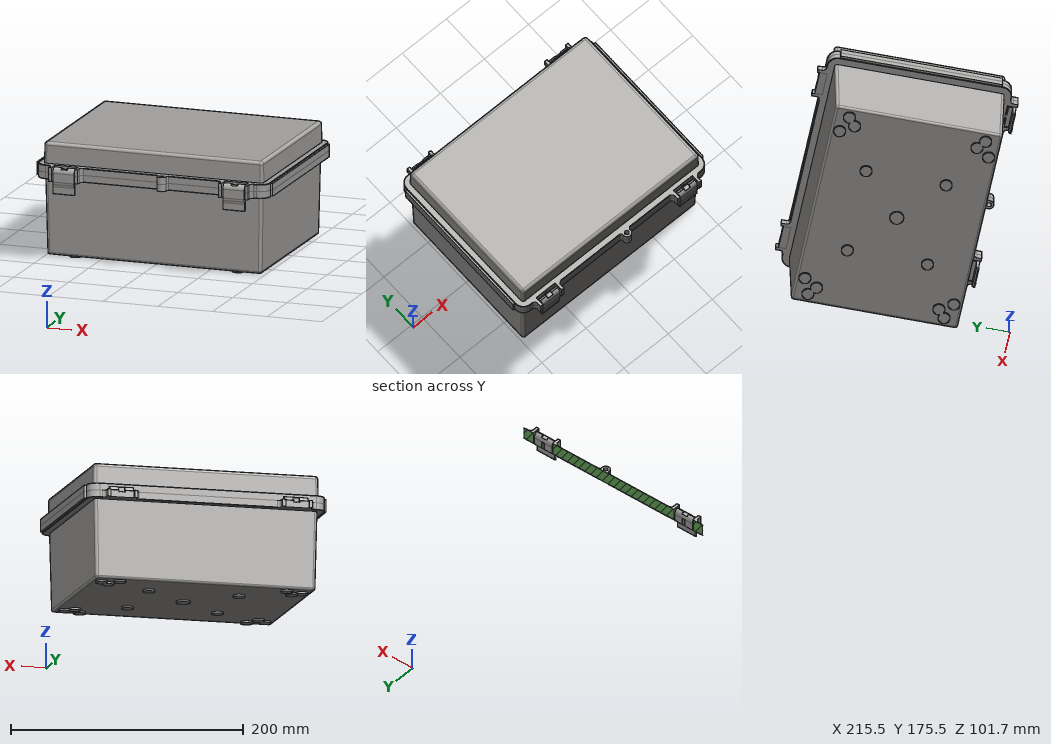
import cadquery as cq
import math

length = 215.5
width = 175.5
height = 101.7

foot_height = 1.5
flange_bottom = 70.5
parting = 76.7
flange_top = 83.0

flange_half_x = 105.8
flange_half_y = 80.8
flange_corner = 9.3
rim_chamfer = 0.5

rib_length = 141.5
rib_inset = 0.6

box_size = (198.7, 148.7)
box_draft = 1.2
lid_size = (200.5, 150.0)
lid_draft = 0.8
shell_corner = 2.5
box_edge = 2.0
lid_edge = 2.8

ear_spacing = 155.5
ear_half_x = 13.4
ear_gap_half_x = 10.5
ear_flare = 2.8
ear_tip_y = width / 2
slot_back_y = 79.0

latch_width = 19.5
latch_crest_y = 83.6
latch_face_y = 86.8
latch_tail_back_y = 84.0
latch_tail_face_y = 86.2
latch_crest = 82.7
latch_face_top = 77.8
latch_face_bottom = 70.0
latch_step_y = 86.6
latch_step_top = 67.9
latch_step_bottom = 65.7
latch_tip = 59.5
tip_bevel = 1.3
notch_width = 5.5
notch_depth = 1.5
web_width = 3.0
web_overlap = 0.5

lug_face_y = 85.5
lug_arc_y = 83.8
lug_arc_top = 80.4
lug_notch_bottom = 75.2
lug_notch_floor_y = 82.7

eye_x = 10.8
eye_y = -83.2
eye_radius = 4.0
eye_hole = 3.9
eye_flare = 1.0

center_foot_radius = 6.0
foot_radius = 5.2
inner_foot = (40.0, 35.1)
corner_feet = [(89.2, 59.7), (74.3, 65.3), (81.7, 53.7)]


def slab(size_x, size_y, z_low, z_high, center=(0, 0)):
    """Upright block between two heights."""
    block = cq.Workplane("XY", origin=(0, 0, z_low)).center(*center)
    return block.rect(size_x, size_y).extrude(z_high - z_low)


def flared_lug(x_center, half_x, tip_y, flare, side):
    """Outline of a lug leaving the flange edge through a concave flare on each flank."""
    base = side * flange_half_y
    inner = side * (flange_half_y - 2 * flare)
    flare_end = side * (flange_half_y + flare)
    bend = flare * (1 - math.sqrt(0.5))
    bend_y = side * (flange_half_y + bend)
    left = x_center - half_x
    right = x_center + half_x
    return (
        cq.Workplane("XY")
        .moveTo(left - flare, inner)
        .lineTo(left - flare, base)
        .threePointArc((left - bend, bend_y), (left, flare_end))
        .lineTo(left, side * tip_y)
        .lineTo(right, side * tip_y)
        .lineTo(right, flare_end)
        .threePointArc((right + bend, bend_y), (right + flare, base))
        .lineTo(right + flare, inner)
        .close()
    )


def shell(size, z_start, rise, draft, edge):
    """Drafted block rising from z_start (or hanging, if rise is negative), with rounded edges."""
    block = cq.Workplane("XY", origin=(0, 0, z_start)).rect(*size).extrude(rise, taper=draft)
    block = block.edges("not(|X or |Y)").fillet(shell_corner)
    return block.faces(">Z" if rise > 0 else "<Z").edges().fillet(edge)


def flange(z_low, z_high, outer_face, ear_sides):
    """One half of the flange, with its ribs, ears and padlock eye."""
    thickness = z_high - z_low
    plate = slab(2 * flange_half_x, 2 * flange_half_y, z_low, z_high)
    plate = plate.edges("|Z").fillet(flange_corner)
    plate = plate.faces(outer_face).edges().chamfer(rim_chamfer)

    rib_low = max(z_low, flange_bottom + rib_inset)
    rib_high = min(z_high, flange_top - rib_inset)
    plate = plate.union(slab(length, rib_length, rib_low, rib_high))

    for x_center in (-ear_spacing / 2, ear_spacing / 2):
        for side in ear_sides:
            ears = flared_lug(x_center, ear_half_x, ear_tip_y, ear_flare, side).extrude(thickness)
            plate = plate.union(ears.translate((0, 0, z_low)))
            slot_depth = 2 * (ear_tip_y - slot_back_y)
            slot_center = (x_center, side * ear_tip_y)
            plate = plate.cut(slab(2 * ear_gap_half_x, slot_depth, z_low, z_high, slot_center))

    neck = flared_lug(eye_x, eye_radius, -eye_y, eye_flare, -1).extrude(thickness)
    eye = cq.Workplane("XY").center(eye_x, eye_y).circle(eye_radius).extrude(thickness).union(neck)
    hole = cq.Workplane("XY").center(eye_x, eye_y).circle(eye_hole / 2).extrude(thickness)
    plate = plate.union(eye.translate((0, 0, z_low)))
    return plate.cut(hole.translate((0, 0, z_low)))


def latch(x_center):
    """Latch with a round-nosed top, a stepped face, a hanging tail and a web to the flange."""
    run = latch_face_y - latch_crest_y
    rise = latch_crest - latch_face_top
    radius = (run**2 + rise**2) / (2 * run)
    half_angle = math.asin(rise / radius) / 2
    arc_mid_run = run - radius * (1 - math.cos(half_angle))
    arc_mid_z = latch_face_top + radius * math.sin(half_angle)
    latch_back_y = latch_crest_y - run
    body = (
        cq.Workplane("YZ", origin=(x_center, 0, 0))
        .moveTo(-latch_back_y, flange_bottom)
        .lineTo(-latch_back_y, latch_face_top)
        .threePointArc((-latch_crest_y + arc_mid_run, arc_mid_z), (-latch_crest_y, latch_crest))
        .threePointArc((-latch_crest_y - arc_mid_run, arc_mid_z), (-latch_face_y, latch_face_top))
        .lineTo(-latch_face_y, latch_face_bottom)
        .lineTo(-latch_step_y, latch_step_top)
        .lineTo(-latch_tail_face_y, latch_step_bottom)
        .lineTo(-latch_tail_face_y, latch_tip)
        .lineTo(-latch_tail_back_y - tip_bevel, latch_tip)
        .lineTo(-latch_tail_back_y, latch_tip + tip_bevel)
        .lineTo(-latch_tail_back_y, flange_bottom)
        .close()
        .extrude(latch_width / 2, both=True)
    )
    notch_size_y = latch_face_y - latch_back_y
    notch_center = (x_center, -(latch_face_y + latch_back_y) / 2)
    notch_floor = latch_crest - notch_depth
    body = body.cut(slab(notch_width, notch_size_y, notch_floor, flange_top, notch_center))
    web_center = (x_center, -latch_back_y)
    web_size_y = 2 * (latch_back_y - slot_back_y) + web_overlap
    web = slab(web_width, web_size_y, flange_bottom, latch_face_top, web_center)
    return body.union(web)


def hinge_lug(x_center):
    """Lug filling the gap between two hinge ears, rounded over the lid and notched."""
    arc_mid_y = flange_half_y + (lug_arc_y - flange_half_y) * math.sqrt(0.5)
    arc_mid_z = parting + (lug_arc_top - parting) * math.sqrt(0.5)
    body = (
        cq.Workplane("YZ", origin=(x_center, 0, 0))
        .moveTo(slot_back_y, flange_bottom)
        .lineTo(lug_face_y, flange_bottom)
        .lineTo(lug_face_y, parting)
        .lineTo(lug_arc_y, parting)
        .threePointArc((arc_mid_y, arc_mid_z), (flange_half_y, lug_arc_top))
        .lineTo(slot_back_y, lug_arc_top)
        .close()
        .extrude(ear_gap_half_x, both=True)
    )
    notch_size_y = 2 * (lug_face_y - lug_notch_floor_y)
    notch = slab(notch_width, notch_size_y, lug_notch_bottom, flange_top, (x_center, lug_face_y))
    return body.cut(notch)


def feet():
    """Round feet under the floor: one central, four inner and three at each corner."""
    spots = [(0, 0, center_foot_radius)]
    for x, y in [inner_foot] + corner_feet:
        for x_side in (-1, 1):
            for y_side in (-1, 1):
                spots.append((x_side * x, y_side * y, foot_radius))
    pads = cq.Workplane("XY")
    for x, y, radius in spots:
        pads = pads.union(cq.Workplane("XY").center(x, y).circle(radius).extrude(2 * foot_height))
    return pads


base = shell(box_size, flange_bottom, foot_height - flange_bottom, box_draft, box_edge)
base = base.union(flange(flange_bottom, parting, "<Z", (-1, 1))).union(feet())

lid = shell(lid_size, flange_top, height - flange_top, lid_draft, lid_edge)
lid = lid.union(flange(parting, flange_top, ">Z", (-1,)))

result = base.union(lid, clean=False)
for x_center in (-ear_spacing / 2, ear_spacing / 2):
    result = result.union(latch(x_center), clean=False)
    result = result.union(hinge_lug(x_center), clean=False)